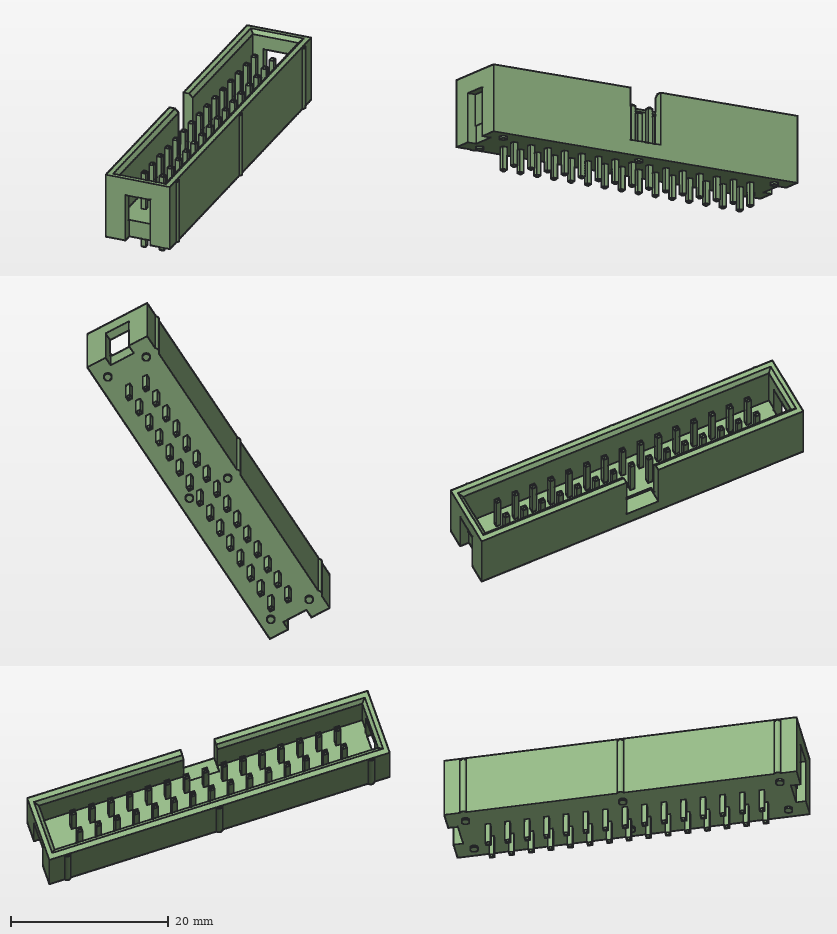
import cadquery as cq

LENGTH = 45.75
WIDTH = 8.9
HEIGHT = 8.9
OVERALL_WIDTH = 9.1
OVERALL_HEIGHT = 12.1

FLOOR = 2.4
SIDE_WALL = 1.3
END_WALL = 1.15
MOUTH_CHAMFER = 0.5

KEY_WIDTH = 4.55
KEY_DEPTH = 6.9
KEY_REACH = 2.05
SLOT_WIDTH = 3.45
SLOT_HEIGHT = 6.5
SLOT_FLOOR_RECESS = 0.115
SLOT_REACH = END_WALL + SLOT_FLOOR_RECESS

PINS_PER_ROW = 15
ROW_LENGTH = 35.55
PITCH = ROW_LENGTH / (PINS_PER_ROW - 1)
ROW_SPACING = 2.5
PIN_SIDE = 0.65
PIN_TIP = 0.25
PIN_TOP = 7.7
PIN_BOTTOM = HEIGHT - OVERALL_HEIGHT

STATION_PITCH = 20.4
STATIONS = [-STATION_PITCH, 0, STATION_PITCH]
FOOT_DIAMETER = 1.0
FOOT_HEIGHT = 0.27
FOOT_X = 2.85
RIB_HEIGHT = OVERALL_WIDTH - WIDTH
RIB_DIAMETER = 1.0
RIB_TOP_GAP = 0.27


def block(size_x, size_y, size_z, x=0, y=0, z=0):
    """Box centred on (x, y) that rises from z."""
    return cq.Workplane("XY").box(size_x, size_y, size_z, centered=(True, True, False)).translate((x, y, z))


def shroud():
    """Open-topped box whose mouth is chamfered all round."""
    inner_width = WIDTH - 2 * SIDE_WALL
    inner_length = LENGTH - 2 * END_WALL
    cavity = block(inner_width, inner_length, HEIGHT - FLOOR, z=FLOOR)
    mouth = (
        cq.Workplane("XY", origin=(0, 0, HEIGHT - MOUTH_CHAMFER))
        .rect(inner_width, inner_length)
        .workplane(offset=MOUTH_CHAMFER)
        .rect(inner_width + 2 * MOUTH_CHAMFER, inner_length + 2 * MOUTH_CHAMFER)
        .loft(ruled=True)
    )
    return block(WIDTH, LENGTH, HEIGHT).cut(cavity).cut(mouth)


def key_notch():
    """Polarising notch in the -X wall, reaching just into the floor."""
    return block(KEY_REACH, KEY_WIDTH, KEY_DEPTH, x=(KEY_REACH - WIDTH) / 2, z=HEIGHT - KEY_DEPTH)


def end_slot(side):
    """Slot through an end wall, open at the underside; side is -1 or 1."""
    return block(SLOT_WIDTH, SLOT_REACH, SLOT_HEIGHT, y=side * (LENGTH - SLOT_REACH) / 2)


def pin(x, y):
    """Square pin with both ends chamfered."""
    post = block(PIN_SIDE, PIN_SIDE, PIN_TOP - PIN_BOTTOM, x, y, PIN_BOTTOM)
    return post.faces("<Z or >Z").chamfer(PIN_TIP)


def foot(x, y):
    """Round standoff under the housing."""
    return cq.Workplane("XY", origin=(x, y, 0)).circle(FOOT_DIAMETER / 2).extrude(-FOOT_HEIGHT)


def crush_rib(y):
    """Rounded rib up the +X wall, stopping short of the rim; the rest of its cylinder lies inside the wall."""
    axis_x = WIDTH / 2 + RIB_HEIGHT - RIB_DIAMETER / 2
    return cq.Workplane("XY", origin=(axis_x, y, 0)).circle(RIB_DIAMETER / 2).extrude(HEIGHT - RIB_TOP_GAP)


result = shroud().cut(key_notch())
for side in (-1, 1):
    result = result.cut(end_slot(side))

for station in STATIONS:
    result = result.union(crush_rib(station))
    for foot_x in (-FOOT_X, FOOT_X):
        result = result.union(foot(foot_x, station))

for pin_x in (-ROW_SPACING / 2, ROW_SPACING / 2):
    for index in range(PINS_PER_ROW):
        pin_y = index * PITCH - ROW_LENGTH / 2
        result = result.union(pin(pin_x, pin_y))